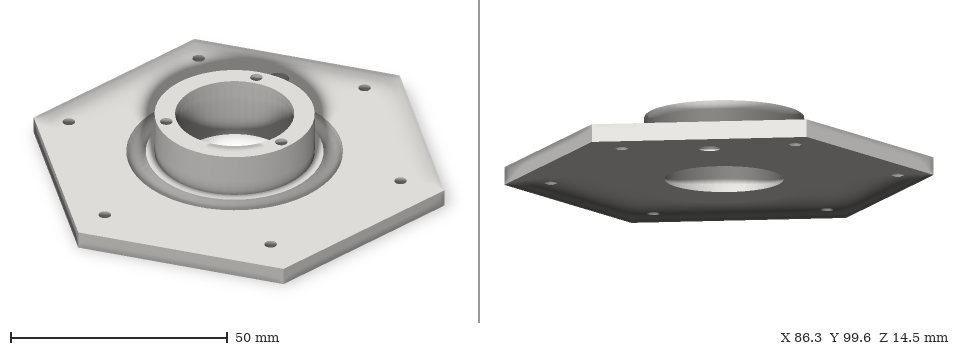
import cadquery as cq
import math

corner_span = 99.6
plate_thickness = 4.2
total_height = 14.5

boss_x = -1.5
boss_diameter = 37.0
bore_diameter = 27.5

groove_inner_radius = 20.5
groove_outer_radius = 25.0

screw_diameter = 2.9
boss_screw_depth = 10.0
boss_screw_circle_radius = (boss_diameter + bore_diameter) / 4
plate_screw_circle_radius = 40.3
cable_hole_diameter = 5.0
cable_hole_radius = 32.4
cable_hole_angle = 120


def polar_point(radius, angle):
    """Point at a radius and an angle in degrees around the boss axis."""
    turn = math.radians(angle)
    return (boss_x + radius * math.cos(turn), radius * math.sin(turn))


def hole_ring(radius, count, start_angle):
    """Evenly spaced hole centres around the boss axis."""
    return [polar_point(radius, start_angle + i * 360 / count) for i in range(count)]


def cylinders(points, diameter, bottom, top):
    """Vertical cylinders between two heights."""
    return (
        cq.Workplane("XY", origin=(0, 0, bottom))
        .pushPoints(points)
        .circle(diameter / 2)
        .extrude(top - bottom)
    )


def ring_groove():
    """Torus centred on the top face of the plate, around the boss."""
    middle_radius = (groove_inner_radius + groove_outer_radius) / 2
    section_radius = (groove_outer_radius - groove_inner_radius) / 2
    return cq.Workplane(
        cq.Solid.makeTorus(
            middle_radius, section_radius, cq.Vector(boss_x, 0, plate_thickness), cq.Vector(0, 0, 1)
        )
    )


plate = (
    cq.Workplane("XY")
    .transformed(rotate=(0, 0, 90))
    .polygon(6, corner_span)
    .extrude(plate_thickness)
)
boss_center = [(boss_x, 0)]
boss = cylinders(boss_center, boss_diameter, 0, total_height)
bore = cylinders(boss_center, bore_diameter, 0, total_height)

boss_screws = cylinders(
    hole_ring(boss_screw_circle_radius, 3, 0),
    screw_diameter,
    total_height - boss_screw_depth,
    total_height,
)
plate_screws = cylinders(
    hole_ring(plate_screw_circle_radius, 6, 30), screw_diameter, 0, plate_thickness
)
cable_hole = cylinders(
    [polar_point(cable_hole_radius, cable_hole_angle)], cable_hole_diameter, 0, plate_thickness
)

result = (
    plate.union(boss)
    .cut(ring_groove())
    .cut(bore)
    .cut(boss_screws)
    .cut(plate_screws)
    .cut(cable_hole)
)